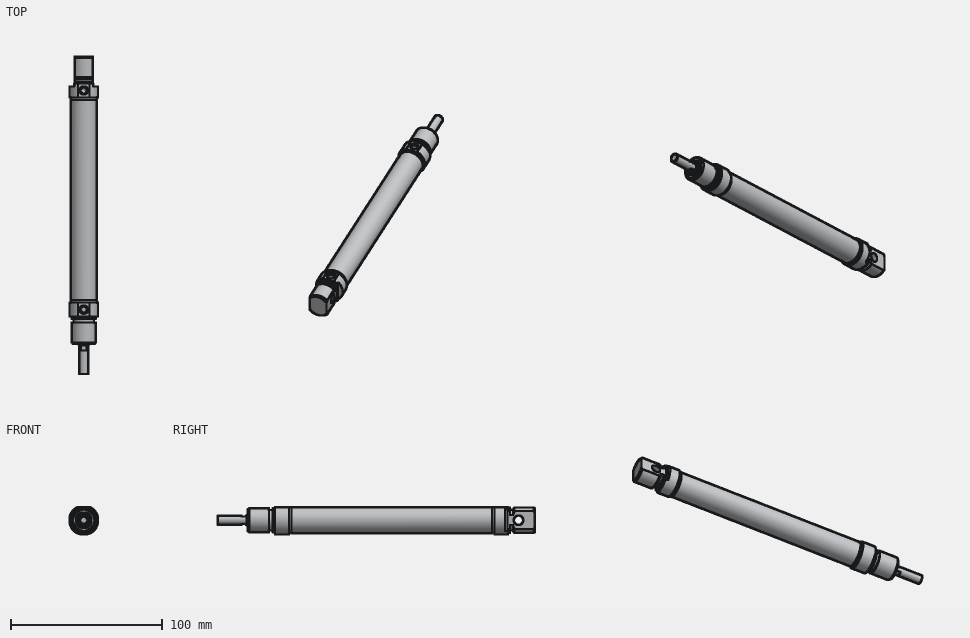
import cadquery as cq
import math

LENGTH = 209.0
HEIGHT = 18.2

CAP_DIA = 19.0
BARREL_DIA = 17.3
BAND_DIA = 17.1
EYE_DIA = 17.0
THREAD_DIA = 16.0
GROOVE_DIA = 13.8
RECESS_DIA = 8.8
LIP_TIP_DIA = 6.5
LIP_DIA = 7.1
ROD_DIA = 6.0
PIVOT_DIA = 6.0
PORT_DIA = 4.2

LIP_Y = 19.2
NOSE_Y = 19.9
GROOVE_FRONT_Y = 33.9
COLLAR_FRONT_Y = 36.2
FRONT_CAP_Y = 37.8
FRONT_BAND_Y = 47.0
BARREL_FRONT_Y = 48.7
BARREL_REAR_Y = 180.5
REAR_BAND_Y = 182.2
REAR_CAP_END_Y = 191.2
REAR_GROOVE_Y = 192.5
REAR_GROOVE_END_Y = 194.4
EYE_Y = 195.6

NOSE_CHAMFER = 1.0
COLLAR_CHAMFER = 0.5
EYE_CHAMFER = 0.8
RECESS_DEPTH = 1.3
RECESS_CHAMFER = 0.8
PORT_FLAT_Z = HEIGHT - CAP_DIA / 2
PORT_CHAMFER = 0.6
PORT_TIP_ANGLE = 118.0
FRONT_PORT_DEPTH = PORT_FLAT_Z
REAR_PORT_DEPTH = 5.2
EYE_WIDTH = 12.1
RING_CUT_WIDTH = 12.5
RING_CUT_Y = 189.4
EYE_FLAT_Y = 190.8
PIVOT_Y = 198.1

ROD_CHAMFER = 0.6
ROD_CHAMFER_LENGTH = 0.2
ROD_FLAT_SPAN = 5.0
ROD_FLAT_START_Y = 15.7
ROD_FLAT_END_Y = 18.8


def disc(diameter, start_y, end_y):
    """Round bar on the cylinder axis between two stations."""
    return cq.Workplane("XZ", origin=(0, start_y, 0)).circle(diameter / 2).extrude(start_y - end_y)


def block(width, height, start_y, end_y, center_x=0.0, center_z=0.0):
    """Rectangular block between two stations, centred on the given X and Z."""
    middle = (center_x, (start_y + end_y) / 2, center_z)
    return cq.Workplane("XY", origin=middle).box(width, end_y - start_y, height)


def cone(start_diameter, end_diameter, start_y, end_y):
    """Frustum on the cylinder axis between two stations."""
    profile = [(0, start_y), (start_diameter / 2, start_y), (end_diameter / 2, end_y), (0, end_y)]
    return cq.Workplane("XY").polyline(profile).close().revolve(360, (0, 0), (0, 1))


def port_drill(port_y, depth):
    """Countersunk hole with a conical drill tip, going down from the port flat."""
    radius = PORT_DIA / 2
    floor_z = PORT_FLAT_Z - depth
    tip_length = radius / math.tan(math.radians(PORT_TIP_ANGLE / 2))
    profile = [
        (0, PORT_FLAT_Z),
        (radius + PORT_CHAMFER, PORT_FLAT_Z),
        (radius, PORT_FLAT_Z - PORT_CHAMFER),
        (radius, floor_z),
        (0, floor_z - tip_length),
    ]
    drill = cq.Workplane("XZ").polyline(profile).close().revolve(360, (0, 0), (0, 1))
    return drill.translate((0, port_y, 0))


def add_port(cap, start_y, end_y, depth):
    """Mill the flat on top of a cap ring and drill the air port in its middle."""
    above_flat = block(CAP_DIA, CAP_DIA, start_y, end_y, center_z=PORT_FLAT_Z + CAP_DIA / 2)
    return cap.cut(above_flat).cut(port_drill((start_y + end_y) / 2, depth))


def cut_side_flats(cap, width, start_y, end_y):
    """Mill both sides of a cap down to the given width in X."""
    for side in (-1, 1):
        beside_x = side * (width + CAP_DIA) / 2
        cap = cap.cut(block(CAP_DIA, CAP_DIA, start_y, end_y, center_x=beside_x))
    return cap


def make_barrel():
    """Solid round barrel between the two caps."""
    return disc(BARREL_DIA, BARREL_FRONT_Y, BARREL_REAR_Y)


def make_front_cap():
    """Front cap: mounting nose, port ring and a lipped recess around the rod."""
    nose = disc(THREAD_DIA, NOSE_Y, GROOVE_FRONT_Y).faces("<Y").chamfer(NOSE_CHAMFER)
    groove = disc(GROOVE_DIA, GROOVE_FRONT_Y, COLLAR_FRONT_Y)
    collar = disc(THREAD_DIA, COLLAR_FRONT_Y, FRONT_CAP_Y).faces("<Y").chamfer(COLLAR_CHAMFER)
    ring = disc(CAP_DIA, FRONT_CAP_Y, FRONT_BAND_Y)
    band = disc(BAND_DIA, FRONT_BAND_Y, BARREL_FRONT_Y)
    cap = nose.union(groove).union(collar).union(ring).union(band)
    cap = add_port(cap, FRONT_CAP_Y, FRONT_BAND_Y, FRONT_PORT_DEPTH)
    recess = disc(RECESS_DIA, NOSE_Y, NOSE_Y + RECESS_DEPTH)
    rod_bore = disc(ROD_DIA, LIP_Y, BARREL_FRONT_Y)
    recess_mouth = RECESS_DIA + 2 * RECESS_CHAMFER
    countersink = cone(recess_mouth, RECESS_DIA, NOSE_Y, NOSE_Y + RECESS_CHAMFER)
    lip = disc(LIP_DIA, NOSE_Y, NOSE_Y + RECESS_DEPTH).union(cone(LIP_TIP_DIA, LIP_DIA, LIP_Y, NOSE_Y))
    return cap.cut(recess).cut(countersink).union(lip).cut(rod_bore)


def make_rear_cap():
    """Rear cap: port ring and a flat-sided eye with a cross hole for the pivot pin."""
    band = disc(BAND_DIA, BARREL_REAR_Y, REAR_BAND_Y)
    ring = disc(CAP_DIA, REAR_BAND_Y, REAR_CAP_END_Y)
    collar = disc(EYE_DIA, REAR_CAP_END_Y, REAR_GROOVE_Y)
    groove = disc(GROOVE_DIA, REAR_GROOVE_Y, REAR_GROOVE_END_Y)
    groove_cone = cone(GROOVE_DIA, EYE_DIA, REAR_GROOVE_END_Y, EYE_Y)
    eye = disc(EYE_DIA, EYE_Y, LENGTH).faces(">Y").chamfer(EYE_CHAMFER)
    cap = band.union(ring).union(collar).union(groove).union(groove_cone).union(eye)
    cap = add_port(cap, REAR_BAND_Y, REAR_CAP_END_Y, REAR_PORT_DEPTH)
    cap = cut_side_flats(cap, RING_CUT_WIDTH, RING_CUT_Y, EYE_FLAT_Y)
    cap = cut_side_flats(cap, EYE_WIDTH, EYE_FLAT_Y, LENGTH)
    pivot = cq.Workplane("YZ", origin=(0, PIVOT_Y, 0)).circle(PIVOT_DIA / 2).extrude(CAP_DIA / 2, both=True)
    return cap.cut(pivot)


def make_rod():
    """Piston rod with a chamfered tip and a pair of wrench flats."""
    tip = cone(ROD_DIA - 2 * ROD_CHAMFER, ROD_DIA, 0, ROD_CHAMFER_LENGTH)
    rod = disc(ROD_DIA, ROD_CHAMFER_LENGTH, BARREL_FRONT_Y).union(tip)
    for side in (-1, 1):
        beyond_z = side * (ROD_FLAT_SPAN + ROD_DIA) / 2
        rod = rod.cut(block(ROD_DIA, ROD_DIA, ROD_FLAT_START_Y, ROD_FLAT_END_Y, center_z=beyond_z))
    return rod


barrel = make_barrel()
front_cap = make_front_cap()
rear_cap = make_rear_cap()
rod = make_rod()
result = cq.Compound.makeCompound([barrel.val(), front_cap.val(), rear_cap.val(), rod.val()])